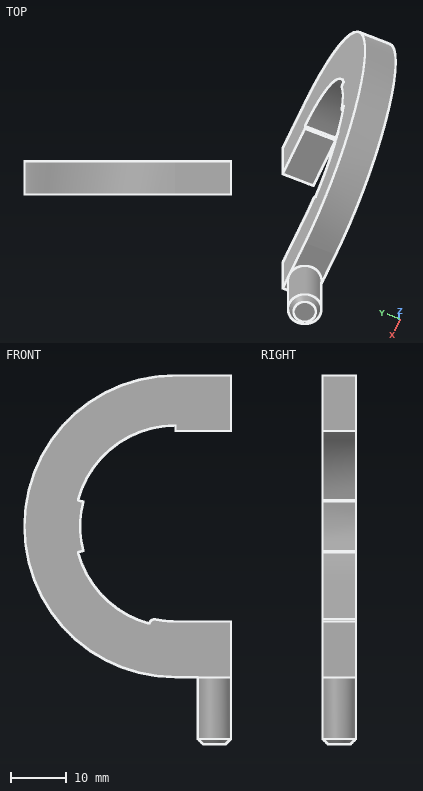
import cadquery as cq
import math

thickness = 6.0
outer_radius = 27.0
pad_radius = 17.0
relief_radius = 18.0
arm_length = 10.0
pin_diameter = 6.0
pin_length = 12.0
pin_chamfer = 1.0

upper_relief = (90.0, 165.0)
lower_relief = (195.0, 255.0)

step_fillet = relief_radius - pad_radius
pin_x = arm_length - pin_diameter / 2


def polar(radius, angle):
    """Point in the XZ plane at a radius and angle from the arc centre."""
    turn = math.radians(angle)
    return (radius * math.cos(turn), radius * math.sin(turn))


def extrude_centred(profile):
    """Extrude an XZ profile to the full thickness, symmetric about Y = 0."""
    return profile.extrude(thickness / 2, both=True)


def make_frame():
    """C-shaped bar: a half ring with two straight arms."""
    profile = (
        cq.Workplane("XZ")
        .moveTo(arm_length, outer_radius)
        .lineTo(0, outer_radius)
        .threePointArc((-outer_radius, 0), (0, -outer_radius))
        .lineTo(arm_length, -outer_radius)
        .lineTo(arm_length, -pad_radius)
        .lineTo(0, -pad_radius)
        .threePointArc((-pad_radius, 0), (0, pad_radius))
        .lineTo(arm_length, pad_radius)
        .close()
    )
    return extrude_centred(profile)


def make_relief(start, end):
    """Ring sector, bounded by radial edges, that deepens the inner surface."""
    middle = (start + end) / 2
    profile = (
        cq.Workplane("XZ")
        .moveTo(0, 0)
        .lineTo(*polar(relief_radius, start))
        .threePointArc(polar(relief_radius, middle), polar(relief_radius, end))
        .close()
    )
    return extrude_centred(profile)


def round_lower_step(body):
    """Round the lip between the lower relief and the lower pad."""
    lip_x, lip_z = polar(pad_radius, lower_relief[1])
    lip = cq.selectors.NearestToPointSelector((lip_x, 0, lip_z))
    return body.edges("|Y").edges(lip).fillet(step_fillet)


def make_pin():
    """Pin below the lower arm, chamfered at its free end."""
    return (
        cq.Workplane("XY", origin=(pin_x, 0, -outer_radius))
        .circle(pin_diameter / 2)
        .extrude(-pin_length)
        .faces("<Z")
        .chamfer(pin_chamfer)
    )


frame = make_frame()
for start, end in (upper_relief, lower_relief):
    frame = frame.cut(make_relief(start, end))
frame = round_lower_step(frame)

result = frame.union(make_pin())